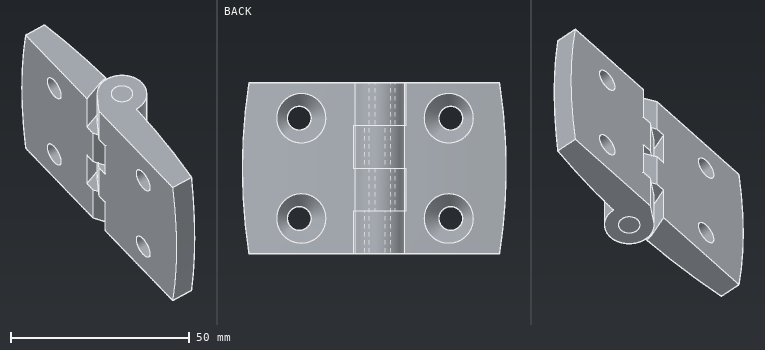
import cadquery as cq
import math

length = 74.0
height = 48.0
center_x = 1.55
mount_y = -9.0
crown_y = 0.0
crown_drop = 2.75
end_bulge = 1.85

barrel_radius = 6.95
clearance_radius = 7.3
pin_diameter = 6.0
knuckle_count = 4
knuckle_height = height / knuckle_count
knuckle_foot = 1.4
recess_foot = 4.3
web_reach = 11.1

hole_diameter = 6.6
hole_spacing = 28.1
sink_diameter = 13.8
sink_slope = 1.0
left_hole_x = -19.9
right_hole_x = 22.6

left_end = center_x - length / 2
right_end = center_x + length / 2
half_height = height / 2
LEFT, RIGHT = -1, 1


def polar(radius, angle):
    return radius * math.cos(angle), radius * math.sin(angle)


def tangent_angle(radius, foot_x, turn):
    """Angle at which a line through (foot_x, mount_y) touches a circle about the axis."""
    distance = math.hypot(foot_x, mount_y)
    return math.atan2(mount_y, foot_x) + turn * math.acos(radius / distance)


def make_blank():
    """Crowned plate with bowed ends, spanning both leaves."""
    crowned = (
        cq.Workplane("XY", origin=(0, 0, -half_height))
        .moveTo(left_end, mount_y)
        .lineTo(right_end, mount_y)
        .lineTo(right_end, crown_y - crown_drop)
        .threePointArc((center_x, crown_y), (left_end, crown_y - crown_drop))
        .close()
        .extrude(height)
    )
    bowed = (
        cq.Workplane("XZ", origin=(0, crown_y, 0))
        .moveTo(left_end + end_bulge, -half_height)
        .lineTo(right_end - end_bulge, -half_height)
        .threePointArc((right_end, 0), (right_end - end_bulge, half_height))
        .lineTo(left_end + end_bulge, half_height)
        .threePointArc((left_end, 0), (left_end + end_bulge, -half_height))
        .close()
        .extrude(crown_y - mount_y)
    )
    return crowned.intersect(bowed)


def plate_outline(side):
    """Prism on one side of the axis, hollowed to clear the other leaf's barrel."""
    touch = tangent_angle(clearance_radius, recess_foot, 1)
    touch_x, touch_y = polar(clearance_radius, touch)
    middle_x, middle_y = polar(clearance_radius, touch / 2)
    return (
        cq.Workplane("XY", origin=(0, 0, -half_height))
        .moveTo(side * clearance_radius, 0)
        .threePointArc((side * middle_x, middle_y), (side * touch_x, touch_y))
        .lineTo(side * recess_foot, mount_y)
        .lineTo(side * length, mount_y)
        .lineTo(side * length, 0)
        .close()
        .extrude(height)
    )


def make_knuckle(side, index, blank):
    """Barrel and the web joining it to its plate; index 0 is at the bottom."""
    level = cq.Workplane("XY", origin=(0, 0, -half_height + index * knuckle_height))
    touch_x, touch_y = polar(barrel_radius, tangent_angle(barrel_radius, knuckle_foot, -1))
    web = (
        level.polyline([
            (0, 0),
            (side * touch_x, touch_y),
            (side * knuckle_foot, mount_y),
            (side * web_reach, mount_y),
            (side * web_reach, 0),
        ])
        .close()
        .extrude(knuckle_height)
        .intersect(blank)
    )
    return level.circle(barrel_radius).extrude(knuckle_height).union(web)


def make_pin():
    return (
        cq.Workplane("XY", origin=(0, 0, -half_height))
        .circle(pin_diameter / 2)
        .extrude(height)
    )


def make_hole(hole_x, hole_z):
    """Through hole countersunk from the rear face; the cone runs on to the crown height."""
    crown_radius = (crown_drop**2 + (length / 2)**2) / (2 * crown_drop)
    surface_drop = crown_radius - math.sqrt(crown_radius**2 - (hole_x - center_x)**2)
    hole_radius = hole_diameter / 2
    mouth_radius = sink_diameter / 2 + surface_drop / sink_slope
    sink_bottom = crown_y - (mouth_radius - hole_radius) * sink_slope
    return (
        cq.Workplane("XY")
        .moveTo(0, mount_y)
        .lineTo(hole_radius, mount_y)
        .lineTo(hole_radius, sink_bottom)
        .lineTo(mouth_radius, crown_y)
        .lineTo(0, crown_y)
        .close()
        .revolve(360, (0, 0, 0), (0, 1, 0))
        .translate((hole_x, 0, hole_z))
    )


def make_leaf(side, first_knuckle, hole_x):
    """Plate, every second knuckle, pin bore and two countersunk holes."""
    blank = make_blank()
    leaf = blank.intersect(plate_outline(side))
    for index in range(first_knuckle, knuckle_count, 2):
        leaf = leaf.union(make_knuckle(side, index, blank))
    for hole_z in (-hole_spacing / 2, hole_spacing / 2):
        leaf = leaf.cut(make_hole(hole_x, hole_z))
    return leaf.cut(make_pin())


left_leaf = make_leaf(LEFT, 0, left_hole_x)
right_leaf = make_leaf(RIGHT, 1, right_hole_x)
pin = make_pin()

result = cq.Compound.makeCompound([left_leaf.solids().val(), right_leaf.solids().val(), pin.val()])